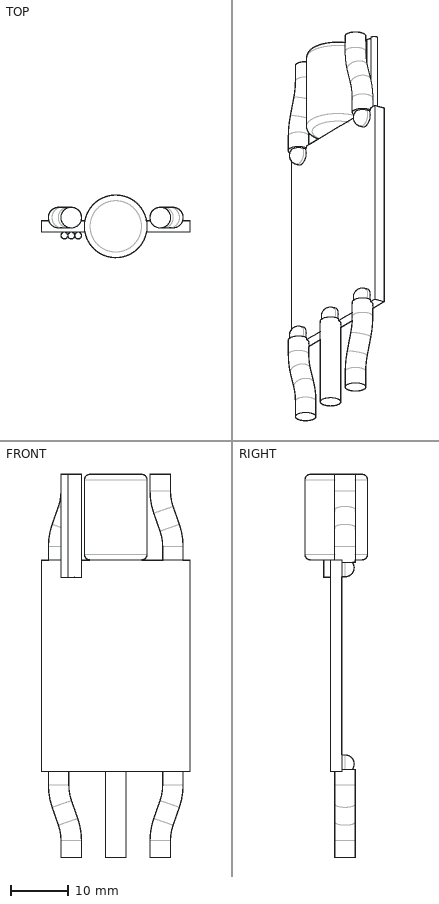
import cadquery as cq
import math

total_height = 67.0
board_width = 26.0
board_thickness = 2.0
board_height = 37.0
end_z = total_height / 2
board_end_z = board_height / 2

capacitor_diameter = 11.0
capacitor_rounding = 1.0
capacitor_height = end_z - board_end_z

lead_diameter = 3.6
lead_axis_y = 1.55
lead_free_x = 7.8
lead_board_x = 10.0
lead_free_length = 2.95
lead_bend_height = 9.7
lead_bend_radius = 10.0
lead_overlap = 0.4

joint_radius = 1.6
joint_inset = 1.35
joint_axis_z = board_end_z - joint_inset

wire_count = 3
wire_diameter = 1.2
wire_overlap = 3.0
wire_middle_x = -lead_free_x


def make_board():
    return cq.Workplane("XY").box(board_width, board_thickness, board_height)


def make_capacitor():
    return (
        cq.Workplane("XY", origin=(0, 0, board_end_z))
        .circle(capacitor_diameter / 2)
        .extrude(capacitor_height)
        .edges()
        .fillet(capacitor_rounding)
    )


def make_bent_lead():
    """Upper lead on the +X side, swept from its free end down to the board."""
    shift = lead_board_x - lead_free_x
    double_radius = 2 * lead_bend_radius
    across = double_radius - shift
    tilt = math.atan2(lead_bend_height, across) - math.acos(
        double_radius / math.hypot(lead_bend_height, across)
    )

    def arc_offset(angle):
        sideways = lead_bend_radius * (1 - math.cos(angle))
        along = lead_bend_radius * math.sin(angle)
        return sideways, along

    half_x, half_z = arc_offset(tilt / 2)
    full_x, full_z = arc_offset(tilt)
    bend_top = end_z - lead_free_length
    bend_bottom = bend_top - lead_bend_height
    path = (
        cq.Workplane("XZ", origin=(0, lead_axis_y, 0))
        .moveTo(lead_free_x, end_z)
        .lineTo(lead_free_x, bend_top)
        .threePointArc((lead_free_x + half_x, bend_top - half_z), (lead_free_x + full_x, bend_top - full_z))
        .lineTo(lead_board_x - full_x, bend_bottom + full_z)
        .threePointArc((lead_board_x - half_x, bend_bottom + half_z), (lead_board_x, bend_bottom))
        .lineTo(lead_board_x, board_end_z - lead_overlap)
    )
    return (
        cq.Workplane("XY", origin=(lead_free_x, lead_axis_y, end_z))
        .circle(lead_diameter / 2)
        .sweep(path)
    )


def make_straight_lead():
    """Middle lead, below the board."""
    return (
        cq.Workplane("XY", origin=(0, lead_axis_y, -end_z))
        .circle(lead_diameter / 2)
        .extrude(end_z - board_end_z + lead_overlap)
    )


def make_joint(x, z):
    dome_mid = joint_radius * math.sqrt(0.5)
    return (
        cq.Workplane("XY", origin=(x, 0, z))
        .lineTo(joint_radius, 0)
        .lineTo(joint_radius, lead_axis_y)
        .threePointArc((dome_mid, lead_axis_y + dome_mid), (0, lead_axis_y + joint_radius))
        .close()
        .revolve(360, (0, 0, 0), (0, 1, 0))
    )


def make_assembly():
    """Board with the capacitor, leads and joints fused to it."""
    assembly = make_board().union(make_capacitor())
    right_lead = make_bent_lead()
    left_lead = right_lead.mirror("YZ")
    for lead in (right_lead, left_lead):
        assembly = assembly.union(lead).union(lead.mirror("XY"))
    assembly = assembly.union(make_straight_lead())
    for x in (-lead_board_x, lead_board_x):
        for z in (-joint_axis_z, joint_axis_z):
            assembly = assembly.union(make_joint(x, z))
    return assembly.union(make_joint(0, -joint_axis_z))


def make_signal_wire(index):
    x = wire_middle_x + (index - (wire_count - 1) / 2) * wire_diameter
    y = -(board_thickness + wire_diameter) / 2
    bottom_z = board_end_z - wire_overlap
    return (
        cq.Workplane("XY", origin=(x, y, bottom_z))
        .circle(wire_diameter / 2)
        .extrude(end_z - bottom_z)
    )


board_assembly = make_assembly()
signal_wires = [make_signal_wire(index).val() for index in range(wire_count)]

result = cq.Compound.makeCompound([board_assembly.val(), *signal_wires])